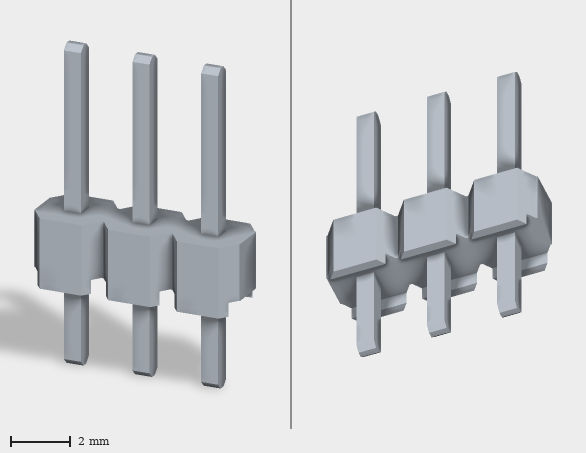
import cadquery as cq


pin_count = 3

body_length = 7.63
body_width = 2.54
body_height = 2.54
pitch = body_length / pin_count

corner_cut_x = 0.45
corner_cut_y = 0.61
corner_land = 0.05

foot_height = 0.5
foot_thickness = 0.3

pin_size = 0.63
pin_length = 11.54
pin_tail = 3.0
tip_chamfer = 0.21

body_bottom = pin_tail
pin_positions = [(i - (pin_count - 1) / 2) * pitch for i in range(pin_count)]


def make_cell(x_center):
    """One body cell, with its four vertical corners cut away."""
    half_length = pitch / 2
    half_width = body_width / 2
    cell = cq.Workplane("XY").box(pitch, body_width, body_height, centered=(True, True, False))
    for side_x in (-1, 1):
        for side_y in (-1, 1):
            boundary_x = side_x * half_length
            land_x = side_x * (half_length - corner_land)
            slope_end_x = side_x * (half_length - corner_land - corner_cut_x)
            outer_y = side_y * half_width
            inner_y = side_y * (half_width - corner_cut_y)
            corner = (
                cq.Workplane("XY")
                .polyline([
                    (boundary_x, outer_y),
                    (slope_end_x, outer_y),
                    (land_x, inner_y),
                    (boundary_x, inner_y),
                ])
                .close()
                .extrude(body_height)
            )
            cell = cell.cut(corner)
    return cell.translate((x_center, 0, body_bottom))


def make_underside_channel():
    """Full-length channel that leaves only the feet reaching the bottom of the body."""
    channel_width = body_width - 2 * foot_thickness
    return (
        cq.Workplane("XY", origin=(0, 0, body_bottom))
        .box(body_length, channel_width, foot_height, centered=(True, True, False))
    )


def make_pin(x_center):
    """Square pin with both ends chamfered on the two faces that look along Y."""
    return (
        cq.Workplane("XY", origin=(x_center, 0, 0))
        .box(pin_size, pin_size, pin_length, centered=(True, True, False))
        .faces("<Z or >Z")
        .edges("|X")
        .chamfer(tip_chamfer)
    )


body = make_cell(pin_positions[0])
for x_position in pin_positions[1:]:
    body = body.union(make_cell(x_position))
body = body.cut(make_underside_channel())

result = body
for x_position in pin_positions:
    result = result.union(make_pin(x_position))